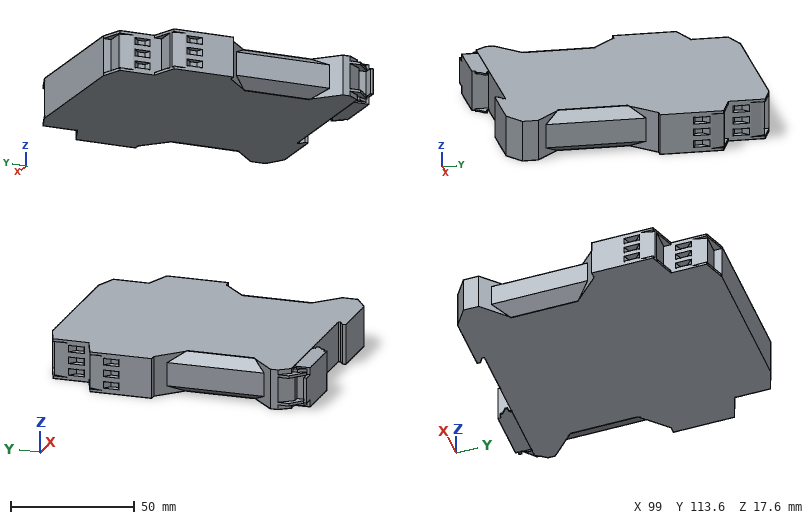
import cadquery as cq


overall_length = 113.6
body_thickness = 17.1
cap_half_width = 29.7
upper_half_width = 38.75
shoulder_half_width = 49.5
shoulder_bottom = 64.5
shoulder_ledge = 2.8
waist_half_width = 36.0
waist_top = 53.8
waist_bottom = 25.0
base_half_width = 46.5
base_bevel_start = 14.7
tier_pitch = 18.7
tier_slope = 0.375

seat_y = 6.8
foot_bottom = 2.9
foot_inner_x = 15.2
foot_lip_height = 1.5
foot_notch_x = 17.4
foot_notch_y = 5.8
foot_corner_x = 38.9
foot_corner_y = 8.1
heel_x = -43.1
heel_top = 11.5

grip_half_width = 42.4
grip_face_height = 10.0
grip_ridge_height = 17.6

terminal_pitch = 18.4
recess_height = 14.8
terminal_top_drop = 3.5
terminal_setback = 1.2
setback_length = 1.0
setback_end_drop = 9.2
opening_count = 3
opening_pitch = 5.0
opening_height = 2.8
opening_start_drop = 10.0
opening_lead_length = 2.5
opening_floor_length = 3.1
opening_tail_length = 1.2
opening_depth = 2.7

latch_thickness = 16.9
latch_left = -39.5
latch_right = -18.0
latch_inner_height = 15.6
pad_left = -43.9
pad_thickness = 1.3
hook_tip_x = -14.0
hook_tip_bottom = 4.6
hook_tip_top = 5.6
hook_neck_x = -16.2
hook_neck_bottom = 2.7
hook_corner_bevel = 0.6
rib_outer_height = 13.0
rib_inner_height = 10.8
rib_toe_x = -40.3
web_bottom = 5.6
stop_x = -41.2
stop_bevel_top = 4.8


def slab(points, height):
    """Closed XY outline extruded evenly to both sides of Z = 0."""
    return cq.Workplane("XY").polyline(points).close().extrude(height / 2, both=True)


def layer_pair(points, outer_height, inner_height):
    """Two mirrored layers lying between the inner and outer heights."""
    return slab(points, outer_height).cut(slab(points, inner_height))


def make_body():
    tier_tops = [overall_length, overall_length - tier_pitch]
    cap_drop = tier_slope * (upper_half_width - cap_half_width)
    shoulder_drop = tier_slope * (shoulder_half_width - upper_half_width)
    side = [
        (cap_half_width, tier_tops[0]),
        (upper_half_width, tier_tops[0] - cap_drop),
        (upper_half_width, tier_tops[1]),
        (shoulder_half_width, tier_tops[1] - shoulder_drop),
        (shoulder_half_width, shoulder_bottom),
        (shoulder_half_width - shoulder_ledge, shoulder_bottom),
        (waist_half_width, waist_top),
        (waist_half_width, waist_bottom),
        (base_half_width, base_bevel_start),
    ]
    foot = [
        (base_half_width, foot_corner_y),
        (foot_corner_x, foot_bottom),
        (foot_inner_x, foot_bottom),
        (foot_inner_x, foot_bottom + foot_lip_height),
        (foot_notch_x, foot_notch_y),
        (foot_notch_x, seat_y),
    ]
    heel = [(heel_x, seat_y), (-base_half_width, heel_top)]
    mirrored_side = [(-x, y) for x, y in reversed(side)]
    return slab(side + foot + heel + mirrored_side, body_thickness)


def make_grip():
    """Bevelled grip on the -X side, bounded in Y by the flared waist walls."""
    flare = grip_half_width - waist_half_width
    plan = slab(
        [
            (-waist_half_width, waist_bottom),
            (-waist_half_width, waist_top),
            (-grip_half_width, waist_top + flare),
            (-grip_half_width, waist_bottom - flare),
        ],
        grip_ridge_height,
    )
    section = (
        cq.Workplane("XZ")
        .polyline(
            [
                (-waist_half_width, grip_ridge_height / 2),
                (-grip_half_width, grip_face_height / 2),
                (-grip_half_width, -grip_face_height / 2),
                (-waist_half_width, -grip_ridge_height / 2),
            ]
        )
        .close()
        .extrude(-overall_length)
    )
    return plan.intersect(section)


def make_terminal_cut(inner_x, side_x, block_top, tier_top):
    """Recess and wire openings of one tier on the -X side."""
    ledge_y = block_top - terminal_top_drop
    set_back_x = side_x + terminal_setback
    cut = slab(
        [
            (inner_x, tier_top),
            (inner_x, ledge_y),
            (set_back_x, ledge_y),
            (set_back_x, ledge_y - setback_length),
            (side_x, block_top - setback_end_drop),
            (side_x, tier_top),
        ],
        recess_height,
    )
    lead_y = block_top - opening_start_drop
    floor_start = lead_y - opening_lead_length
    floor_end = floor_start - opening_floor_length
    floor_x = side_x + opening_depth
    opening = slab(
        [
            (side_x, lead_y),
            (floor_x, floor_start),
            (floor_x, floor_end),
            (side_x, floor_end - opening_tail_length),
        ],
        opening_height,
    )
    for index in range(opening_count):
        offset = (index - (opening_count - 1) / 2) * opening_pitch
        cut = cut.union(opening.translate((0, 0, offset)))
    return cut


def make_latch():
    """Rail latch with hooked cheeks, pull pad, stops and guide ribs."""
    latch_block = slab(
        [(latch_left, 0), (latch_right, 0), (latch_right, seat_y), (latch_left, seat_y)],
        latch_thickness,
    )
    hook = [
        (latch_right, pad_thickness),
        (hook_neck_x - hook_corner_bevel, pad_thickness),
        (hook_neck_x, pad_thickness + hook_corner_bevel),
        (hook_neck_x, hook_neck_bottom),
        (hook_tip_x, hook_tip_bottom),
        (hook_tip_x, hook_tip_top),
        (hook_neck_x + hook_corner_bevel, hook_tip_top),
        (hook_neck_x, hook_tip_top + hook_corner_bevel),
        (hook_neck_x, seat_y),
        (latch_right, seat_y),
    ]
    cheeks = layer_pair(hook, latch_thickness, latch_inner_height)
    stop = [
        (latch_left, seat_y),
        (stop_x, seat_y),
        (stop_x, stop_bevel_top),
        (latch_left, pad_thickness),
    ]
    stops = layer_pair(stop, latch_inner_height, rib_outer_height)
    rib = [
        (-base_half_width, heel_top),
        (-base_half_width, seat_y),
        (rib_toe_x, pad_thickness),
        (latch_left, pad_thickness),
        (latch_left, heel_top),
    ]
    ribs = layer_pair(rib, rib_outer_height, rib_inner_height)
    heel_slope = (heel_x + base_half_width) / (heel_top - seat_y)
    web_x = heel_x + heel_slope * (seat_y - web_bottom)
    web = slab(
        [
            (heel_x, seat_y),
            (web_x, web_bottom),
            (latch_left, web_bottom),
            (latch_left, seat_y),
        ],
        rib_inner_height,
    )
    pad = slab(
        [(pad_left, 0), (latch_left, 0), (latch_left, pad_thickness), (pad_left, pad_thickness)],
        rib_inner_height,
    )
    return latch_block.union(cheeks).union(stops).union(ribs).union(web).union(pad)


body = make_body()

tier_half_widths = [
    (cap_half_width, upper_half_width),
    (upper_half_width, shoulder_half_width),
]
for tier, (inner_half_width, outer_half_width) in enumerate(tier_half_widths):
    terminal_cut = make_terminal_cut(
        -inner_half_width,
        -outer_half_width,
        overall_length - tier * terminal_pitch,
        overall_length - tier * tier_pitch,
    )
    body = body.cut(terminal_cut).cut(terminal_cut.mirror("YZ"))

grip = make_grip()
result = body.union(grip).union(grip.mirror("YZ")).union(make_latch())